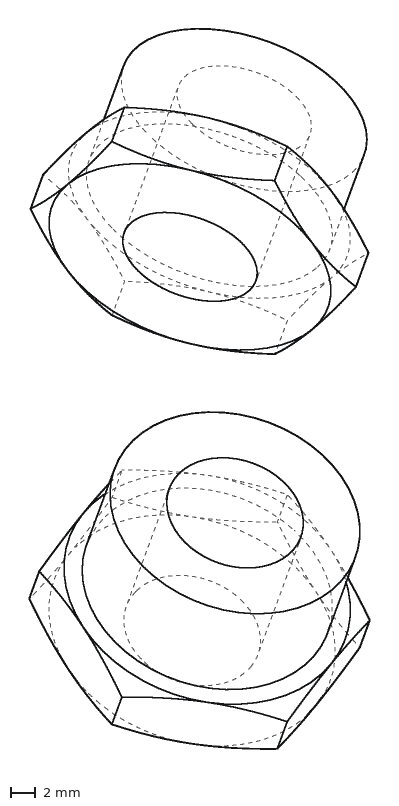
import cadquery as cq
import math

across_corners = 27.7
across_flats = across_corners * math.cos(math.pi / 6)
head_thickness = 5.5
corner_bevel_depth = 0.95

total_length = 15.5
shank_diameter = 20.95
bore_diameter = 11.45


def along_y(diameter, length):
    """Cylinder running from the head face at Y = 0 toward +Y."""
    return cq.Workplane("XZ").circle(diameter / 2).extrude(-length)


def hex_head():
    """Hexagon with both faces turned to a conical bevel that touches the flats."""
    hexagon = cq.Workplane("XZ").polygon(6, across_corners).extrude(-head_thickness)
    face_radius = across_flats / 2
    corner_radius = across_corners / 2
    bevel_envelope = (
        cq.Workplane("XY")
        .moveTo(0, 0)
        .lineTo(face_radius, 0)
        .lineTo(corner_radius, corner_bevel_depth)
        .lineTo(corner_radius, head_thickness - corner_bevel_depth)
        .lineTo(face_radius, head_thickness)
        .lineTo(0, head_thickness)
        .close()
        .revolve(360, (0, 0, 0), (0, 1, 0))
    )
    return hexagon.intersect(bevel_envelope)


shank = along_y(shank_diameter, total_length)
bore = along_y(bore_diameter, total_length)
result = hex_head().union(shank).cut(bore)